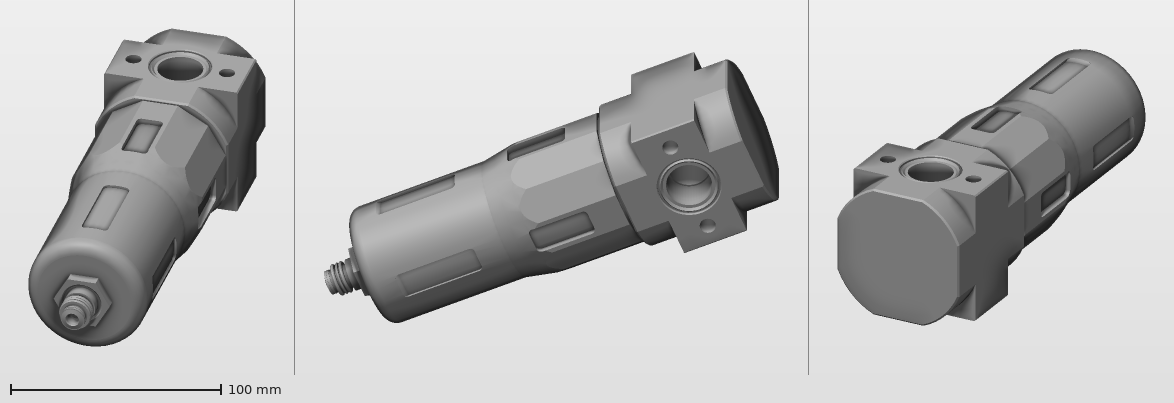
import cadquery as cq
import math


overall_length = 219.2

head_size = 66.0
head_half = head_size / 2
corner_round_diameter = 71.2
band_length = 32.2
band_edge_chamfer = 0.7
head_end_chamfer = 0.9
neck_diameter = 62.0
neck_length = 1.3

port_mouth_diameter = 31.0
port_seat_diameter = 30.0
port_mouth_chamfer = (port_mouth_diameter - port_seat_diameter) / 2
port_groove_depth = 1.3
port_groove_inner_diameter = 28.5
port_ridge_diameter = 27.2
port_ridge_depth = 0.5
port_ledge_diameter = 25.0
port_ledge_depth = 1.5
port_thread_diameter = 22.0
port_thread_depth = 19.7
port_bore_diameter = 20.4
mounting_hole_diameter = 7.7
mounting_hole_spacing = 46.3

collar_sides = 12
collar_across_flats = 64.5
collar_start = -head_half - neck_length
taper_start = -74.0
cup_start = -94.7
cup_end = -164.9
cup_diameter = 58.8
cup_edge_radius = 6.1

window_count = 4
window_width = 13.0
window_corner_radius = 2.2
collar_window_start = -50.5
collar_window_end = -80.5
collar_window_floor_radius = 29.5
cup_window_start = -108.5
cup_window_end = -149.0
cup_window_floor_radius = 28.0
cup_window_ramp_length = 2.0

hex_sides = 6
hex_across_flats = 24.0
hex_end = -170.0
hex_recess_mouth_diameter = 20.0
hex_recess_floor_diameter = 18.0
hex_recess_depth = 1.0
stem_diameter = 15.8
stem_end = -174.0
stem_neck_diameter = 11.8
ring_spans = [(-176.0, -177.5), (-178.2, -179.3), (-180.2, -181.7)]
ring_chamfer = 0.5
tip_neck_diameter = 11.0
tip_start = -183.3
tip_groove_start = -184.1
tip_groove_end = -184.5
tip_groove_diameter = 11.5
tip_cone_diameter = 11.0
tip_cone_length = 0.7
tip_end = head_half - overall_length
drain_hole_diameter = 6.0
drain_hole_chamfer = 0.5
drain_hole_depth = 6.5


def cylinder_along_y(diameter, start, end):
    """Solid cylinder on the Y axis between two Y positions, start above end."""
    return cq.Workplane("XZ", origin=(0, start, 0)).circle(diameter / 2).extrude(start - end)


def turned_about_y(outline):
    """Solid of revolution about Y from a closed outline of (radius, y) points."""
    return cq.Workplane("XY").polyline(outline).close().revolve(360, (0, 0, 0), (0, 1, 0))


def port_cutter():
    """Cutter for one port mouth on the +Z face: a groove with a sharp ridge inside it, then the bore."""
    groove_floor = head_half - port_groove_depth
    ledge = head_half - port_ledge_depth
    thread_floor = head_half - port_thread_depth
    outline = [
        (0, head_half),
        (port_mouth_diameter / 2, head_half),
        (port_seat_diameter / 2, head_half - port_mouth_chamfer),
        (port_seat_diameter / 2, groove_floor),
        (port_groove_inner_diameter / 2, groove_floor),
        (port_ridge_diameter / 2, head_half - port_ridge_depth),
        (port_ledge_diameter / 2, ledge),
        (port_thread_diameter / 2, ledge),
        (port_thread_diameter / 2, thread_floor),
        (port_bore_diameter / 2, thread_floor),
        (port_bore_diameter / 2, 0),
        (0, 0),
    ]
    return cq.Workplane("XZ").polyline(outline).close().revolve(360, (0, 0, 0), (0, 1, 0))


def make_head():
    block = cq.Workplane("XY").box(head_size, head_size, head_size)
    head = block.intersect(cylinder_along_y(corner_round_diameter, head_half, -head_half))
    head = head.faces("<Y or >Y").chamfer(head_end_chamfer)

    band = cq.Workplane("XY").box(head_size, band_length, head_size)
    head = head.union(band.edges("|Y").chamfer(band_edge_chamfer))

    head = head.union(cylinder_along_y(neck_diameter, -head_half, collar_start))

    upper_port = port_cutter()
    head = head.cut(upper_port).cut(upper_port.mirror("XY"))
    mounting_holes = (
        cq.Workplane("XY", origin=(0, 0, -head_half))
        .rarray(mounting_hole_spacing, 2.2, 2, 1)
        .circle(mounting_hole_diameter / 2)
        .extrude(head_size)
    )
    return head.cut(mounting_holes)


def make_shell():
    """Collar, taper and cup as one turned shape with flats cut round the collar."""
    collar_radius = collar_across_flats / 2 / math.cos(math.pi / collar_sides)
    shell = turned_about_y([
        (0, collar_start),
        (collar_radius, collar_start),
        (collar_radius, taper_start),
        (cup_diameter / 2, cup_start),
        (cup_diameter / 2, cup_end),
        (0, cup_end),
    ])
    shell = shell.faces("<Y").edges().fillet(cup_edge_radius)
    flats = (
        cq.Workplane("XZ", origin=(0, collar_start, 0))
        .polygon(collar_sides, 2 * collar_radius)
        .extrude(collar_start - cup_end)
        .rotate((0, 0, 0), (0, 1, 0), 180 / collar_sides)
    )
    return shell.intersect(flats)


def window_prism(start, end):
    """Upright prism with rounded corners over one window, on the +Z side."""
    return (
        cq.Workplane("XY", origin=(0, (start + end) / 2, 0))
        .rect(window_width, start - end)
        .extrude(head_half)
        .edges("|Z")
        .fillet(window_corner_radius)
    )


def window_cutters():
    """The collar window and the cup window of one side, with round floors."""
    collar_core = cylinder_along_y(2 * collar_window_floor_radius, collar_start, cup_start)
    collar_window = window_prism(collar_window_start, collar_window_end).cut(collar_core)

    cup_core = turned_about_y([
        (0, cup_start),
        (cup_window_floor_radius, cup_start),
        (cup_window_floor_radius, cup_window_end + cup_window_ramp_length),
        (cup_diameter / 2, cup_window_end),
        (0, cup_window_end),
    ])
    cup_window = window_prism(cup_window_start, cup_window_end).cut(cup_core)
    return [collar_window, cup_window]


def make_drain():
    hexagon = (
        cq.Workplane("XZ", origin=(0, cup_end, 0))
        .polygon(hex_sides, hex_across_flats / math.cos(math.pi / hex_sides))
        .extrude(cup_end - hex_end)
    )
    recess_floor = hex_end + hex_recess_depth
    hexagon = hexagon.cut(turned_about_y([
        (0, recess_floor),
        (hex_recess_floor_diameter / 2, recess_floor),
        (hex_recess_mouth_diameter / 2, hex_end),
        (0, hex_end),
    ]))

    drain = hexagon.union(cylinder_along_y(stem_diameter, cup_end, stem_end))
    last_ring_end = ring_spans[-1][1]
    drain = drain.union(cylinder_along_y(stem_neck_diameter, stem_end, last_ring_end))
    for start, end in ring_spans:
        drain = drain.union(cylinder_along_y(stem_diameter, start, end).edges().chamfer(ring_chamfer))

    drain = drain.union(cylinder_along_y(tip_neck_diameter, last_ring_end, tip_start))
    drain = drain.union(turned_about_y([
        (0, tip_start),
        (stem_neck_diameter / 2, tip_start),
        (stem_neck_diameter / 2, tip_groove_start),
        (tip_groove_diameter / 2, tip_groove_start),
        (tip_groove_diameter / 2, tip_groove_end),
        (stem_neck_diameter / 2, tip_groove_end),
        (stem_neck_diameter / 2, tip_end + tip_cone_length),
        (tip_cone_diameter / 2, tip_end + tip_cone_length),
        (drain_hole_diameter / 2 + drain_hole_chamfer, tip_end),
        (0, tip_end),
    ]))
    drain_hole_radius = drain_hole_diameter / 2
    return drain.cut(turned_about_y([
        (0, tip_end + drain_hole_depth),
        (drain_hole_radius, tip_end + drain_hole_depth),
        (drain_hole_radius, tip_end + drain_hole_chamfer),
        (drain_hole_radius + drain_hole_chamfer, tip_end),
        (0, tip_end),
    ]))


def make_bowl():
    bowl = make_shell()
    for cutter in window_cutters():
        for side in range(window_count):
            bowl = bowl.cut(cutter.rotate((0, 0, 0), (0, 1, 0), side * 360 / window_count))
    return bowl.union(make_drain())


head = make_head()
bowl = make_bowl()

result = cq.Compound.makeCompound([head.solids().val(), bowl.solids().val()])